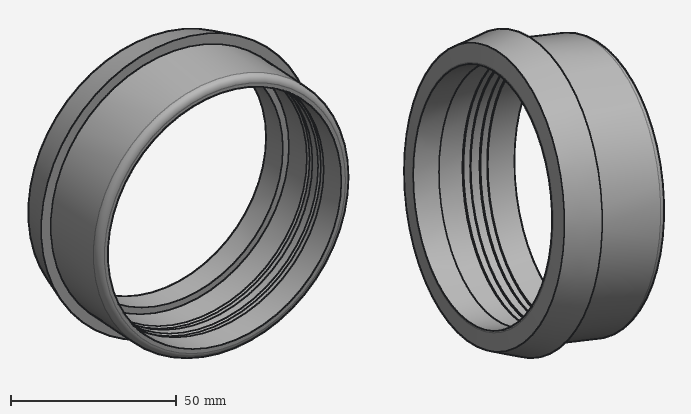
import cadquery as cq
import math

overall_length = 37.0

collar_diameter = 100.0
collar_length = 12.0
collar_front_diameter = 93.8
rim_diameter = 82.0
face_setback = 0.55

sleeve_diameter = 93.0
sleeve_end_fillet = 2.4

mouth_diameter = 81.0
mouth_depth = 9.05
bore_diameter = 85.4

groove_diameter = 86.4
groove_width = 3.0
groove_front_slope_length = 0.75
groove_pitch = 6.0
first_groove_start = 18.6
groove_count = 2
groove_cutter_overlap = 1.0

AXIS_START = (0, 0, 0)
AXIS_END = (1, 0, 0)


def make_body():
    """Revolve the half section of the collar, sleeve and stepped bore about X."""
    sleeve_radius = sleeve_diameter / 2
    mouth_radius = mouth_diameter / 2
    bore_radius = bore_diameter / 2

    fillet_center_x = overall_length - sleeve_end_fillet
    fillet_center_radius = sleeve_radius - sleeve_end_fillet
    fillet_mid_offset = sleeve_end_fillet * math.sqrt(0.5)
    fillet_middle = (fillet_center_x + fillet_mid_offset, fillet_center_radius + fillet_mid_offset)

    return (
        cq.Workplane("XY")
        .moveTo(0, mouth_radius)
        .lineTo(0, rim_diameter / 2)
        .lineTo(face_setback, collar_front_diameter / 2)
        .lineTo(collar_length, collar_diameter / 2)
        .lineTo(collar_length, sleeve_radius)
        .lineTo(fillet_center_x, sleeve_radius)
        .threePointArc(fillet_middle, (overall_length, fillet_center_radius))
        .lineTo(overall_length, bore_radius)
        .lineTo(mouth_depth, bore_radius)
        .lineTo(mouth_depth, mouth_radius)
        .close()
        .revolve(360, AXIS_START, AXIS_END)
    )


def make_groove_cutter(start_x):
    """Ring that cuts one groove into the bore wall, starting at start_x."""
    end_x = start_x + groove_width
    bore_radius = bore_diameter / 2
    floor_radius = groove_diameter / 2
    inner_radius = bore_radius - groove_cutter_overlap
    return (
        cq.Workplane("XY")
        .moveTo(start_x, inner_radius)
        .lineTo(start_x, bore_radius)
        .lineTo(start_x + groove_front_slope_length, floor_radius)
        .lineTo(end_x, floor_radius)
        .lineTo(end_x, inner_radius)
        .close()
        .revolve(360, AXIS_START, AXIS_END)
    )


result = make_body()
for index in range(groove_count):
    result = result.cut(make_groove_cutter(first_groove_start + index * groove_pitch))